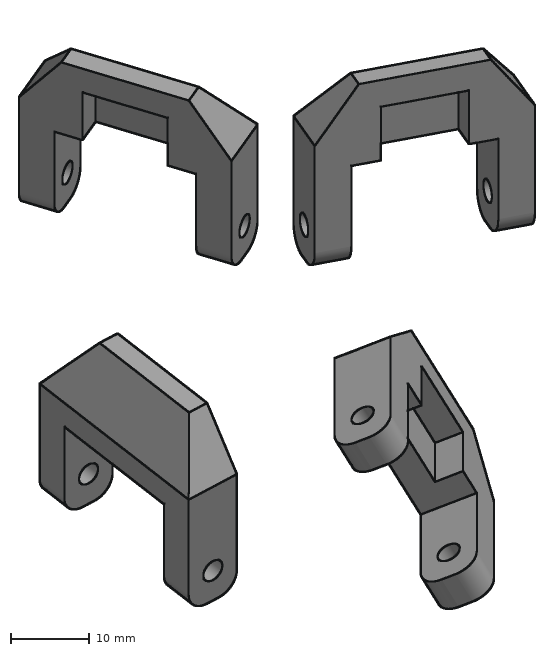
import cadquery as cq

width = 30.0
depth = 8.0
height = 27.0

bevel_height = 8.0
end_bevel_run = 6.0
top_depth = 3.0
shoulder_z = height - bevel_height

leg_width = 5.0
opening_height = 15.0
foot_radius = 3.0

pin_diameter = 3.15
pin_z = 5.0

pocket_width = 12.0
pocket_height = 8.0
pocket_depth = 4.0


def front_block(block_width, block_depth, block_height, base_z):
    """Box centred on X that starts at the front face and stands on base_z."""
    return (
        cq.Workplane("XY", origin=(0, 0, base_z))
        .box(block_width, block_depth, block_height, centered=(True, False, False))
    )


def end_bevelled_body():
    """Front outline with sloped upper corners, extruded through the depth."""
    half_width = width / 2
    half_top = half_width - end_bevel_run
    outline = [
        (-half_width, 0),
        (half_width, 0),
        (half_width, shoulder_z),
        (half_top, height),
        (-half_top, height),
        (-half_width, shoulder_z),
    ]
    return cq.Workplane("XZ").polyline(outline).close().extrude(-depth)


def side_envelope():
    """Side outline with a sloped back and rounded feet, extruded along X."""
    outline = [(0, 0), (depth, 0), (depth, shoulder_z), (top_depth, height), (0, height)]
    return (
        cq.Workplane("YZ")
        .polyline(outline)
        .close()
        .extrude(width / 2, both=True)
        .edges("|X and <Z")
        .fillet(foot_radius)
    )


def pin_hole():
    """Cylinder along X through both legs, centred in their depth."""
    return (
        cq.Workplane("YZ")
        .center(depth / 2, pin_z)
        .circle(pin_diameter / 2)
        .extrude(width / 2, both=True)
    )


opening = front_block(width - 2 * leg_width, depth, opening_height, 0)
pocket = front_block(pocket_width, pocket_depth, pocket_height, opening_height)

result = (
    end_bevelled_body()
    .intersect(side_envelope())
    .cut(opening)
    .cut(pocket)
    .cut(pin_hole())
)